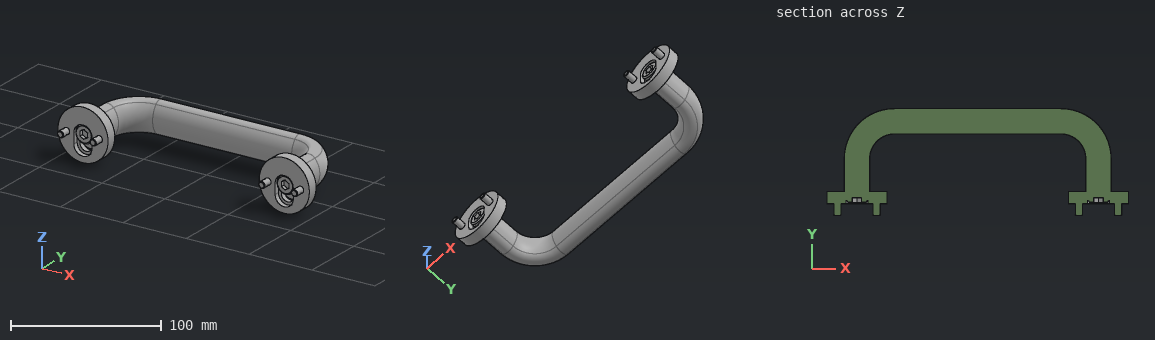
import cadquery as cq
import math

overall_length = 200.0
overall_depth = 71.0
flange_diameter = 40.0
flange_thickness = 8.2
leg_offset = (overall_length - flange_diameter) / 2

pin_diameter = 5.0
pin_length = 7.8
pin_tip_chamfer = 0.5
pin_offset = 13.0

bar_width = 17.0
bar_height = 25.0
side_arc_radius = 15.8
bend_radius = 24.8
handle_height = overall_depth - pin_length
bar_axis_height = handle_height - bar_width / 2

slot_width = 14.5
slot_depth = 4.0
through_slot_width = 10.0
slot_travel = 8.0

head_diameter = 14.0
head_chamfer = 1.0
head_recess = 1.0
shank_diameter = 10.0
socket_across_flats = 6.0
socket_depth = 3.0


def disc(x, diameter, y_start, length):
    """Cylinder along +Y, centred on the given X."""
    return cq.Workplane("XZ", origin=(x, y_start, 0)).circle(diameter / 2).extrude(-length)


def oval_section(workplane):
    """Four-arc oval: bar_width along local X, bar_height along local Y."""
    half_width = bar_width / 2
    half_height = bar_height / 2
    side_centre = side_arc_radius - half_width
    end_arc_radius = (side_arc_radius**2 - half_height**2 - side_centre**2) / (
        2 * (side_arc_radius - half_height)
    )
    end_centre = half_height - end_arc_radius
    angle = math.atan2(end_centre, side_centre)
    joint_x = end_arc_radius * math.cos(angle)
    joint_y = end_centre + end_arc_radius * math.sin(angle)
    return (
        workplane.moveTo(joint_x, -joint_y)
        .threePointArc((half_width, 0), (joint_x, joint_y))
        .threePointArc((0, half_height), (-joint_x, joint_y))
        .threePointArc((-half_width, 0), (-joint_x, -joint_y))
        .threePointArc((0, -half_height), (joint_x, -joint_y))
        .close()
    )


def make_bar():
    bend_start = bar_axis_height - bend_radius
    bend_end = leg_offset - bend_radius
    path = (
        cq.Workplane("XY")
        .moveTo(-leg_offset, flange_thickness)
        .lineTo(-leg_offset, bend_start)
        .radiusArc((-bend_end, bar_axis_height), bend_radius)
        .lineTo(bend_end, bar_axis_height)
        .radiusArc((leg_offset, bend_start), bend_radius)
        .lineTo(leg_offset, flange_thickness)
    )
    start = cq.Workplane("XZ", origin=(-leg_offset, flange_thickness, 0))
    return oval_section(start).sweep(path)


def slot_cutter(x, width, depth):
    """Upright slot from the flange centre down, cut from the mounting face."""
    return (
        cq.Workplane("XZ", origin=(x, 0, -slot_travel / 2))
        .slot2D(slot_travel + width, width, 90)
        .extrude(-depth)
    )


def make_flange(x):
    flange = disc(x, flange_diameter, 0, flange_thickness)
    flange = flange.cut(slot_cutter(x, slot_width, slot_depth))
    return flange.cut(slot_cutter(x, through_slot_width, flange_thickness))


def make_screw(x):
    head = disc(x, head_diameter, head_recess, slot_depth - head_recess)
    head = head.faces("<Y").chamfer(head_chamfer)
    shank = disc(x, shank_diameter, slot_depth, flange_thickness - slot_depth)
    socket_across_corners = socket_across_flats / math.cos(math.pi / 6)
    socket = (
        cq.Workplane("XZ", origin=(x, head_recess, 0))
        .transformed(rotate=(0, 0, 90))
        .polygon(6, socket_across_corners)
        .extrude(-socket_depth)
    )
    return head.union(shank).cut(socket)


def make_pin(x):
    pin = disc(x, pin_diameter, -pin_length, pin_length)
    return pin.faces("<Y").chamfer(pin_tip_chamfer)


result = make_bar()
for leg_x in (-leg_offset, leg_offset):
    result = result.union(make_flange(leg_x))
    result = result.union(make_screw(leg_x))
    for pin_x in (leg_x - pin_offset, leg_x + pin_offset):
        result = result.union(make_pin(pin_x))